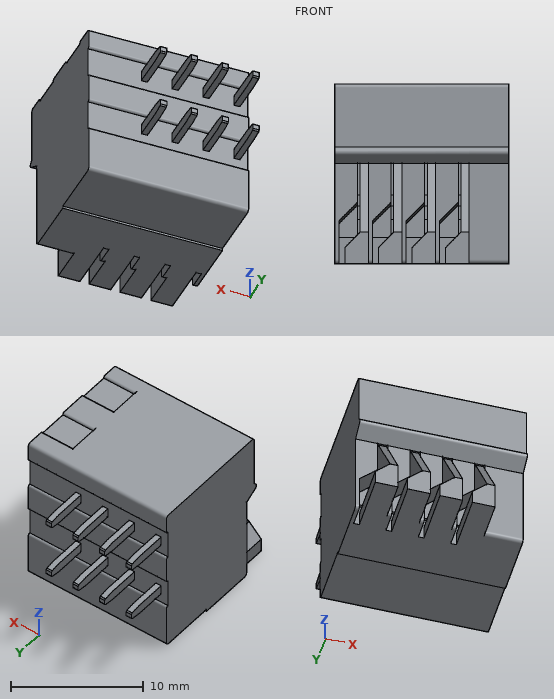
import cadquery as cq
import math


pole_count = 4
pitch = 2.54
end_plate_width = 3.0
height = 13.6

upper_front_y = -10.95
lower_front_y = -10.0
back_floor_z = 0.2
floor_step_y = -5.0
corner_radius = 0.3

ridge_top_z = 8.82
ridge_bottom_z = 7.6
ridge_upper_slope = math.tan(math.radians(45))
ridge_lower_slope = math.tan(math.radians(30))
ridge_tip_radius = 0.28

pin_spacing = 2 * pitch
upper_pin_offset = 3.04
pin_offsets = (upper_pin_offset, upper_pin_offset + pin_spacing)
groove_width = pitch
groove_depth = 0.2

pin_x = 0.9
pin_width = 0.5
pin_thickness = 0.84
pin_reach = 3.5
pin_taper_length = 1.0
pin_tip_thickness = 0.6
pin_tip_chamfer = 0.1
pin_root_y = -0.4

lever_left_x = 0.76
web_left_x = 1.92
lever_shoulder_z = 1.22
lever_nose_z = 2.4
lever_front_y = -12.8
lever_slope_start_z = 7.18
lever_slope = (lever_slope_start_z - lever_nose_z) / (lower_front_y - lever_front_y)

recess_left_x = 0.32
slot_left_x = 1.72
chamber_left_z = 3.25
chamber_right_z = chamber_left_z + slot_left_x - recess_left_x
chamber_depth = 1.5
chamber_ceiling_drop = 0.22
chamber_step_z = 2.0
slot_depth = 2.0
slot_top_z = 8.0
slot_step_heights = (3.36, 4.39, 5.22)
wall_step = 0.2
lever_root_y = lower_front_y + slot_depth + wall_step * (len(slot_step_heights) + 1)


def box(x_range, y_range, z_range):
    """Box from the (start, end) range along each axis."""
    sizes = [end - start for start, end in (x_range, y_range, z_range)]
    corner = (x_range[0], y_range[0], z_range[0])
    return cq.Workplane("XY").box(*sizes, centered=False).translate(corner)


def extrude_along_x(points, start_x, width):
    """Prism along X from (Y, Z) outline points."""
    return cq.Workplane("YZ", origin=(start_x, 0, 0)).polyline(points).close().extrude(width)


def round_edge(body, y, z, radius):
    """Fillet the X-parallel edge that passes through (y, z)."""
    middle = (body.val().Center().x, y, z)
    return body.edges("|X").edges(cq.NearestToPointSelector(middle)).fillet(radius)


def groove_cutter(width):
    """Groove sunk from Y = 0, centred on Z = 0, with rounded lips."""
    half = groove_width / 2
    lip = half + groove_depth
    sagitta = groove_depth * math.sin(math.radians(45))
    lip_mid_y = sagitta - groove_depth
    lip_mid_z = lip - sagitta
    return (
        cq.Workplane("YZ")
        .moveTo(0, -lip)
        .threePointArc((lip_mid_y, -lip_mid_z), (-groove_depth, -half))
        .lineTo(-groove_depth, half)
        .threePointArc((lip_mid_y, lip_mid_z), (0, lip))
        .close()
        .extrude(width)
    )


def make_housing(width):
    """Plain housing slice with the ridge, floor step and pin-side grooves."""
    ridge_rise = ridge_top_z - ridge_bottom_z - ridge_lower_slope * (lower_front_y - upper_front_y)
    ridge_reach = ridge_rise / (ridge_upper_slope + ridge_lower_slope)
    ridge_tip_y = upper_front_y - ridge_reach
    ridge_tip_z = ridge_top_z - ridge_upper_slope * ridge_reach
    outline = [
        (0, back_floor_z),
        (0, height),
        (upper_front_y, height),
        (upper_front_y, ridge_top_z),
        (ridge_tip_y, ridge_tip_z),
        (lower_front_y, ridge_bottom_z),
        (lower_front_y, 0),
        (floor_step_y, 0),
        (floor_step_y, back_floor_z),
    ]
    body = extrude_along_x(outline, 0, width)
    body = round_edge(body, ridge_tip_y, ridge_tip_z, ridge_tip_radius)
    corners = [(0, back_floor_z), (0, height), (upper_front_y, height), (lower_front_y, 0)]
    for y, z in corners:
        body = round_edge(body, y, z, corner_radius)
    for offset in pin_offsets:
        body = body.cut(groove_cutter(width).translate((0, 0, height - offset)))
    return body


def chamber_outline(ceiling_drop):
    """Left part of the lever recess in (X, Z), with a slanted ceiling."""
    return [
        (recess_left_x, 0),
        (slot_left_x, 0),
        (slot_left_x, chamber_right_z - ceiling_drop),
        (recess_left_x, chamber_left_z - ceiling_drop),
    ]


def make_chamber():
    """Chamber whose ceiling sinks towards the back, with a step in its back wall."""
    chamber = (
        cq.Workplane("XZ", origin=(0, lower_front_y, 0))
        .polyline(chamber_outline(0))
        .close()
        .workplane(offset=-chamber_depth)
        .polyline(chamber_outline(chamber_ceiling_drop))
        .close()
        .loft(ruled=True)
    )
    back_y = lower_front_y + chamber_depth
    step = box((recess_left_x, slot_left_x), (back_y, back_y + wall_step), (0, chamber_step_z))
    return chamber.union(step)


def make_slot():
    """Tall slot whose back wall is stepped deeper with height."""
    slot_x = (slot_left_x, pitch)
    back_y = lower_front_y + slot_depth
    slot = box(slot_x, (lower_front_y, back_y), (0, slot_top_z))
    for level, step_z in enumerate(slot_step_heights, start=1):
        slot = slot.union(box(slot_x, (lower_front_y, back_y + level * wall_step), (step_z, slot_top_z)))
    return slot


def make_lever():
    """Wedge-footed lever with a thin web that slopes up into the slot."""
    section = [
        (lever_left_x, 0),
        (pitch, 0),
        (pitch, slot_top_z),
        (web_left_x, slot_top_z),
        (web_left_x, lever_nose_z),
        (lever_left_x, lever_shoulder_z),
    ]
    lever = (
        cq.Workplane("XZ", origin=(0, lever_front_y, 0))
        .polyline(section)
        .close()
        .extrude(lever_front_y - lever_root_y)
    )
    slope_end_y = lever_front_y + (slot_top_z - lever_nose_z) / lever_slope
    above_slope = [
        (lever_front_y, lever_nose_z),
        (slope_end_y, slot_top_z),
        (lever_front_y, slot_top_z),
    ]
    return lever.cut(extrude_along_x(above_slope, 0, pitch))


def make_pin():
    """Flat pin with a tapered, chamfered tip, centred on Z = 0."""
    half = pin_thickness / 2
    tip_half = pin_tip_thickness / 2
    upper_edge = [
        (pin_root_y, half),
        (pin_reach - pin_taper_length, half),
        (pin_reach - pin_tip_chamfer, tip_half),
        (pin_reach, tip_half - pin_tip_chamfer),
    ]
    lower_edge = [(y, -z) for y, z in reversed(upper_edge)]
    return extrude_along_x(upper_edge + lower_edge, pin_x - pin_width / 2, pin_width)


def make_pole():
    """One pole: recessed housing, lever and two pins."""
    pole = make_housing(pitch).cut(make_chamber()).cut(make_slot()).union(make_lever())
    for offset in pin_offsets:
        pole = pole.union(make_pin().translate((0, 0, height - offset)))
    return pole


def make_end_plate():
    """Closing plate with the pin-side grooves repeated along its top."""
    plate = make_housing(end_plate_width)
    top_groove = groove_cutter(end_plate_width).rotate((0, 0, 0), (1, 0, 0), 90)
    for offset in pin_offsets:
        plate = plate.cut(top_groove.translate((0, -offset, height)))
    return plate


pole = make_pole()
result = make_end_plate().translate((pole_count * pitch, 0, 0))
for index in range(pole_count):
    result = result.union(pole.translate((index * pitch, 0, 0)), clean=False)